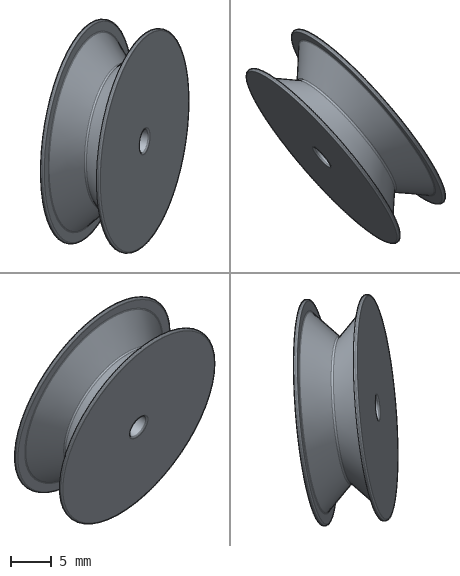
import cadquery as cq

outer_diameter = 28.0
width = 8.0
flange_thickness = 0.5
groove_mouth_radius = 12.5
bore_diameter = 3.0
edge_radius = 0.2

half_width = width / 2
outer_radius = outer_diameter / 2
bore_radius = bore_diameter / 2
groove_half_width = half_width - flange_thickness
groove_bottom_radius = groove_mouth_radius - groove_half_width


def make_pulley_blank():
    """Revolve the sharp-cornered half section about the X axis."""
    section = [
        (-half_width, bore_radius),
        (-half_width, outer_radius),
        (-groove_half_width, outer_radius),
        (-groove_half_width, groove_mouth_radius),
        (0, groove_bottom_radius),
        (groove_half_width, groove_mouth_radius),
        (groove_half_width, outer_radius),
        (half_width, outer_radius),
        (half_width, bore_radius),
    ]
    profile = cq.Workplane("XY").polyline(section).close()
    return profile.revolve(360, (0, 0, 0), (1, 0, 0))


result = make_pulley_blank().edges("%CIRCLE").fillet(edge_radius)